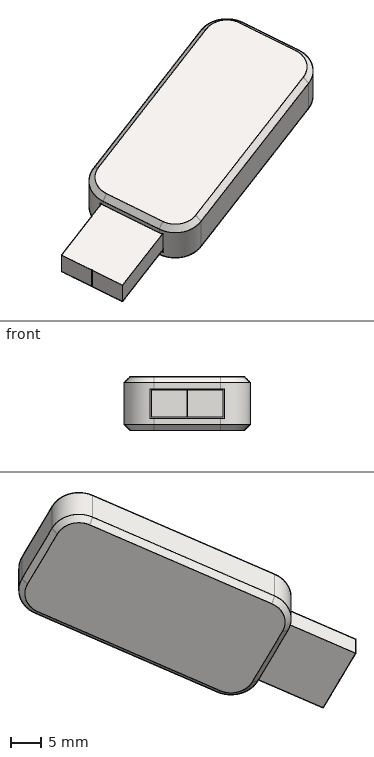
import cadquery as cq

housing_width = 20.95
total_length = 56.1
housing_thickness = 8.9

housing_length = 43.8
corner_radius = 5.0
edge_chamfer = 1.0

plug_width = 11.9
plug_height = 4.5
recess_depth = 2.8
recess_clearance = 0.2

groove_width = 0.1
groove_depth = 0.1

rear_y = total_length / 2
plug_tip_y = -total_length / 2
housing_front_y = rear_y - housing_length
recess_floor_y = housing_front_y + recess_depth


def block(width, front_y, back_y, height):
    """Box centred on X and Z that runs from front_y to back_y."""
    return (
        cq.Workplane("XY")
        .box(width, back_y - front_y, height)
        .translate((0, (front_y + back_y) / 2, 0))
    )


def make_housing():
    """Rounded slab, chamfered top and bottom, with a recess for the plug in its front."""
    slab = (
        block(housing_width, housing_front_y, rear_y, housing_thickness)
        .edges("|Z")
        .fillet(corner_radius)
        .faces("<Z or >Z")
        .chamfer(edge_chamfer)
    )
    recess = block(
        plug_width + 2 * recess_clearance,
        housing_front_y,
        recess_floor_y,
        plug_height + 2 * recess_clearance,
    )
    return slab.cut(recess)


def make_plug():
    """Rectangular plug that rests on the recess floor, with a vertical groove in its tip."""
    bar = block(plug_width, plug_tip_y, recess_floor_y, plug_height)
    groove = block(groove_width, plug_tip_y, plug_tip_y + groove_depth, plug_height)
    return bar.cut(groove)


housing = make_housing()
plug = make_plug()

result = cq.Compound.makeCompound([housing.val(), plug.val()])